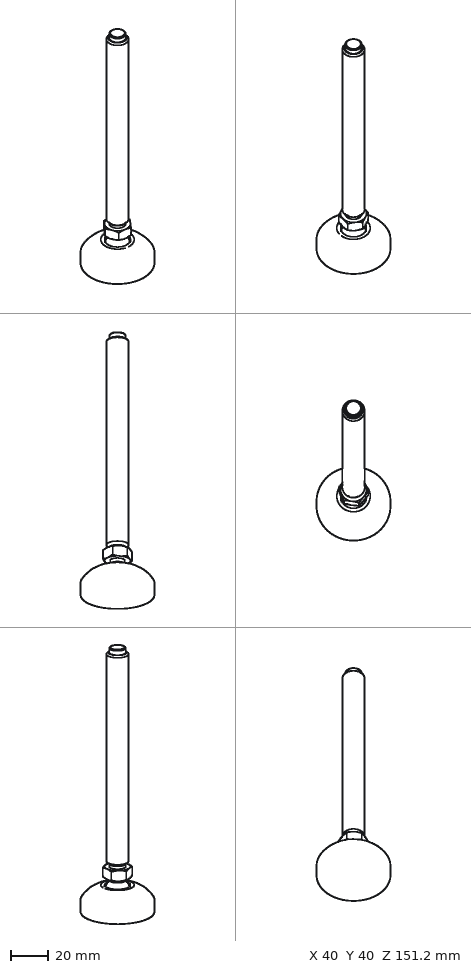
import cadquery as cq
import math

TOTAL_HEIGHT = 151.2

FOOT_DIAMETER = 40.0
FOOT_RADIUS = FOOT_DIAMETER / 2
FOOT_EDGE_FILLET = 0.6
PAD_HEIGHT = 2.5
DOME_BASE_Z = 7.4
DOME_TOP_Z = 15.6
DOME_TOP_RADIUS = 9.0
DOME_ARC_RADIUS = 17.0
SHOULDER_FILLET = 1.5
SOCKET_DIAMETER = 14.0

BALL_DIAMETER = 13.28
BALL_CENTER_Z = 12.9
NECK_DIAMETER = 8.06

HEX_SIDES = 6
HEX_ACROSS_FLATS = 14.0
HEX_BOTTOM_Z = 20.2
HEX_HEIGHT = 6.0
HEX_TOP_Z = HEX_BOTTOM_Z + HEX_HEIGHT
HEX_CHAMFER_DIAMETER = HEX_ACROSS_FLATS
HEX_CHAMFER_ANGLE = 30.0

ROD_DIAMETER = 12.0
UNDERCUT_DIAMETER = 9.0
ROD_START_Z = 27.75
ROD_BOTTOM_CHAMFER = (ROD_DIAMETER - UNDERCUT_DIAMETER) / 2
ROD_TOP_CHAMFER = 1.0
TIP_DIAMETER = 9.0
TIP_LENGTH = 3.0
TIP_CHAMFER = 0.6
ROD_END_Z = TOTAL_HEIGHT - TIP_LENGTH


def cylinder(diameter, bottom, top):
    return cq.Workplane("XY").workplane(offset=bottom).circle(diameter / 2).extrude(top - bottom)


def arc_midpoint(start, end, radius):
    """Middle of the arc from start to end that bulges to the left of the direction of travel."""
    dx = end[0] - start[0]
    dz = end[1] - start[1]
    chord = math.hypot(dx, dz)
    sagitta = radius - math.sqrt(radius ** 2 - (chord / 2) ** 2)
    middle_x = (start[0] + end[0]) / 2
    middle_z = (start[1] + end[1]) / 2
    return (middle_x - dz / chord * sagitta, middle_z + dx / chord * sagitta)


def make_foot():
    pad = cylinder(FOOT_DIAMETER, 0, PAD_HEIGHT).faces("<Z").edges().fillet(FOOT_EDGE_FILLET)
    dome_top = (DOME_TOP_RADIUS, DOME_TOP_Z)
    dome_base = (FOOT_RADIUS, DOME_BASE_Z)
    cover = (
        cq.Workplane("XZ")
        .moveTo(0, PAD_HEIGHT)
        .lineTo(0, DOME_TOP_Z)
        .lineTo(*dome_top)
        .threePointArc(arc_midpoint(dome_top, dome_base, DOME_ARC_RADIUS), dome_base)
        .lineTo(FOOT_RADIUS, PAD_HEIGHT)
        .close()
        .revolve(360, (0, 0, 0), (0, 1, 0))
    )
    cover = cover.faces("%CYLINDER").edges(">Z").fillet(SHOULDER_FILLET)
    socket = cylinder(SOCKET_DIAMETER, BALL_CENTER_Z, DOME_TOP_Z)
    return cover.cut(socket).union(pad, clean=False)


def make_ball():
    return cq.Workplane("XY").sphere(BALL_DIAMETER / 2).translate((0, 0, BALL_CENTER_Z))


def make_hexagon():
    """Hexagon with flats facing +X and -X, its corners chamfered at both ends."""
    corner_radius = HEX_ACROSS_FLATS / 2 / math.cos(math.pi / HEX_SIDES)
    prism = (
        cq.Workplane("XY")
        .workplane(offset=HEX_BOTTOM_Z)
        .polygon(HEX_SIDES, 2 * corner_radius)
        .extrude(HEX_HEIGHT)
        .rotate((0, 0, 0), (0, 0, 1), 180 / HEX_SIDES)
    )
    face_radius = HEX_CHAMFER_DIAMETER / 2
    chamfer_drop = (corner_radius - face_radius) * math.tan(math.radians(HEX_CHAMFER_ANGLE))
    envelope = (
        cq.Workplane("XZ")
        .moveTo(0, HEX_BOTTOM_Z)
        .lineTo(face_radius, HEX_BOTTOM_Z)
        .lineTo(corner_radius, HEX_BOTTOM_Z + chamfer_drop)
        .lineTo(corner_radius, HEX_TOP_Z - chamfer_drop)
        .lineTo(face_radius, HEX_TOP_Z)
        .lineTo(0, HEX_TOP_Z)
        .close()
        .revolve(360, (0, 0, 0), (0, 1, 0))
    )
    return prism.intersect(envelope)


def make_rod():
    rod = cylinder(ROD_DIAMETER, ROD_START_Z, ROD_END_Z)
    rod = rod.faces("<Z").edges().chamfer(ROD_BOTTOM_CHAMFER)
    rod = rod.faces(">Z").edges().chamfer(ROD_TOP_CHAMFER)
    tip = cylinder(TIP_DIAMETER, ROD_END_Z, TOTAL_HEIGHT).faces(">Z").edges().chamfer(TIP_CHAMFER)
    return rod.union(tip)


neck = cylinder(NECK_DIAMETER, BALL_CENTER_Z, HEX_BOTTOM_Z)
undercut = cylinder(UNDERCUT_DIAMETER, HEX_TOP_Z, ROD_START_Z)

result = (
    make_foot()
    .union(make_ball(), clean=False)
    .union(neck, clean=False)
    .union(make_hexagon(), clean=False)
    .union(undercut, clean=False)
    .union(make_rod(), clean=False)
)